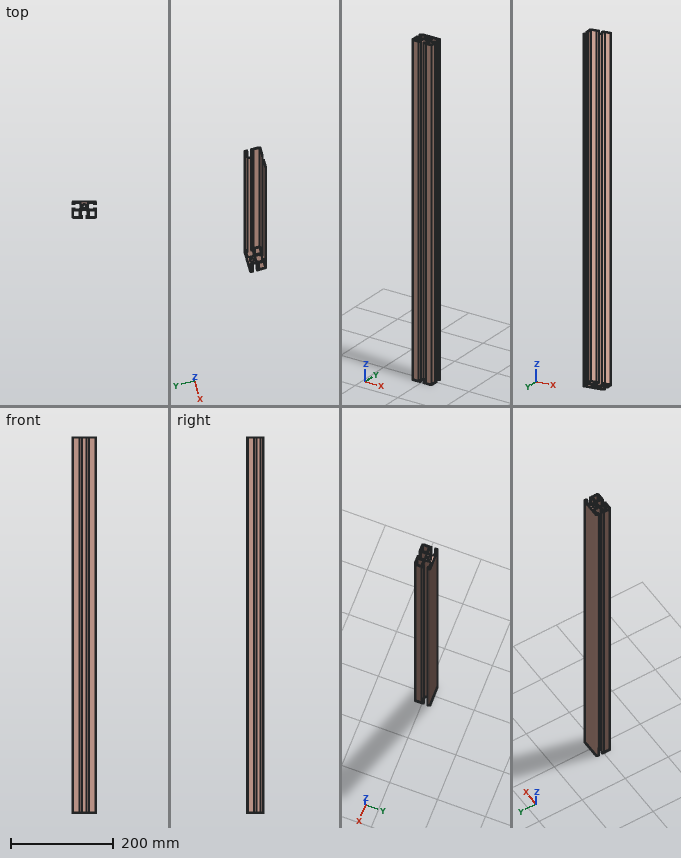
import cadquery as cq

WIDTH = 45.0
DEPTH = 32.0
LENGTH = 732.0
CORNER_RADIUS = 2.5

BORE_DIAMETER = 7.2
BORE_Y = 6.5

SLOT_OPENING = 8.4
SLOT_EDGE_RADIUS = 0.3
SLOT_LIP = 3.75
SLOT_INNER_WIDTH = 13.4
SLOT_SIDE_END = 12.0
SLOT_DEPTH = 15.25
SLOT_FLOOR_WIDTH = 12.0
SLOT_LIP_RADIUS = 0.5
SLOT_SIDE_RADIUS = 1.5
SLOT_FLOOR_RADIUS = 3.0

SIDE_WALL = 1.0
FRONT_WALL = 1.5
CHAMBER_INNER_X = 9.0
CHAMBER_WIDTH = WIDTH / 2 - SIDE_WALL - CHAMBER_INNER_X
CHAMBER_DEPTH = 12.5


def make_body():
    body = cq.Workplane("XY").box(WIDTH, DEPTH, LENGTH)
    return body.edges("|Z").fillet(CORNER_RADIUS)


def round_corners(slot, x, y, radius):
    """Fillet the two lengthwise edges of the slot cutter at (-x, y) and (x, y)."""
    for side in (-1, 1):
        corner = cq.selectors.NearestToPointSelector((side * x, y, 0))
        slot = slot.edges("|Z").edges(corner).fillet(radius)
    return slot


def make_slot():
    """T-slot cutter that opens at the origin toward -Y and deepens toward +Y."""
    opening = SLOT_OPENING / 2
    mouth = opening + SLOT_EDGE_RADIUS
    inner = SLOT_INNER_WIDTH / 2
    floor = SLOT_FLOOR_WIDTH / 2
    slot = (
        cq.Workplane("XY", origin=(0, 0, -LENGTH / 2))
        .moveTo(-mouth, 0)
        .radiusArc((-opening, SLOT_EDGE_RADIUS), -SLOT_EDGE_RADIUS)
        .lineTo(-opening, SLOT_LIP)
        .lineTo(-inner, SLOT_LIP)
        .lineTo(-inner, SLOT_SIDE_END)
        .lineTo(-floor, SLOT_DEPTH)
        .lineTo(floor, SLOT_DEPTH)
        .lineTo(inner, SLOT_SIDE_END)
        .lineTo(inner, SLOT_LIP)
        .lineTo(opening, SLOT_LIP)
        .lineTo(opening, SLOT_EDGE_RADIUS)
        .radiusArc((mouth, 0), -SLOT_EDGE_RADIUS)
        .close()
        .extrude(LENGTH)
    )
    slot = round_corners(slot, inner, SLOT_LIP, SLOT_LIP_RADIUS)
    slot = round_corners(slot, inner, SLOT_SIDE_END, SLOT_SIDE_RADIUS)
    return round_corners(slot, floor, SLOT_DEPTH, SLOT_FLOOR_RADIUS)


def cut_slots(body):
    """One slot in the middle of the -Y side and one in each of the -X and +X sides."""
    slot = make_slot()
    body = body.cut(slot.translate((0, -DEPTH / 2, 0)))
    for side in (-1, 1):
        turned = slot.rotate((0, 0, 0), (0, 0, 1), side * 90)
        body = body.cut(turned.translate((side * WIDTH / 2, BORE_Y, 0)))
    return body


def cut_chambers(body):
    x = CHAMBER_INNER_X + CHAMBER_WIDTH / 2
    y = -DEPTH / 2 + FRONT_WALL + CHAMBER_DEPTH / 2
    chamber = cq.Workplane("XY").box(CHAMBER_WIDTH, CHAMBER_DEPTH, LENGTH)
    for side in (-1, 1):
        body = body.cut(chamber.translate((side * x, y, 0)))
    return body


def cut_bore(body):
    bore = cq.Workplane("XY").cylinder(LENGTH, BORE_DIAMETER / 2)
    return body.cut(bore.translate((0, BORE_Y, 0)))


result = cut_bore(cut_chambers(cut_slots(make_body())))